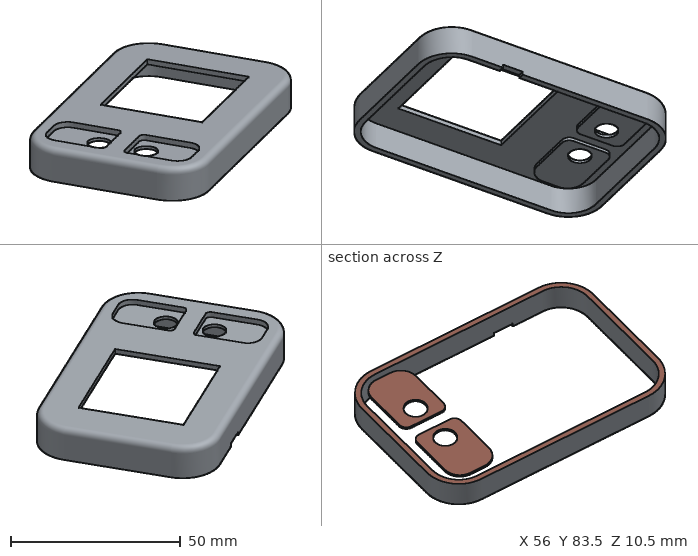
import cadquery as cq

length = 83.5
width = 56.0
height = 10.5
corner_radius = 11.5
edge_radius = 2.0
wall = 2.0
top_thickness = 1.7

window_width = 32.4
window_length = 35.4
window_centre_y = 10.85

button_offset = 7.5
button_y = -28.7
button_diameter = 7.0
recess_inner_x = 3.0
recess_outer_x = 23.05
recess_length = 14.0
recess_depth = 1.75
recess_floor = 1.0
recess_inner_radius = 1.5
recess_outer_radius = 4.4

notch_length = 6.8
notch_height = 1.1
notch_centre_y = 16.1


def rounded_block(size_x, size_y, size_z, radius):
    """Upright block on Z = 0 with rounded vertical corners."""
    return cq.Workplane("XY").rect(size_x, size_y).extrude(size_z).edges("|Z").fillet(radius)


def shell():
    """Open-bottomed cover with a rounded top edge."""
    outside = rounded_block(width, length, height, corner_radius).faces(">Z").edges().fillet(edge_radius)
    cavity = rounded_block(
        width - 2 * wall, length - 2 * wall, height - top_thickness, corner_radius - wall
    )
    return outside.cut(cavity)


def window():
    return (
        cq.Workplane("XY")
        .center(0, window_centre_y)
        .rect(window_width, window_length)
        .extrude(height)
    )


def button_pad(top, depth, margin=0.0):
    """Recess-shaped block on the +X side, hanging down from the given height."""
    inner_x = recess_inner_x - margin
    outer_x = recess_outer_x + margin
    pad = (
        cq.Workplane("XY", origin=((inner_x + outer_x) / 2, button_y, top - depth))
        .rect(outer_x - inner_x, recess_length + 2 * margin)
        .extrude(depth)
    )
    pad = pad.edges("|Z and <X").fillet(recess_inner_radius + margin)
    return pad.edges("|Z and >X").fillet(recess_outer_radius + margin)


def button_hole():
    return cq.Workplane("XY").center(button_offset, button_y).circle(button_diameter / 2).extrude(height)


def both_sides(body):
    """The body together with its mirror image about X = 0."""
    return body.union(body.mirror("YZ"))


def notch():
    return (
        cq.Workplane("XY", origin=(-width / 2 + wall / 2, notch_centre_y, 0))
        .rect(wall, notch_length)
        .extrude(notch_height)
    )


tray_drop = recess_depth + recess_floor - top_thickness
trays = both_sides(button_pad(height - top_thickness, tray_drop, recess_floor))
recesses = both_sides(button_pad(height, recess_depth))
holes = both_sides(button_hole())

result = shell().cut(window()).union(trays).cut(recesses).cut(holes).cut(notch())